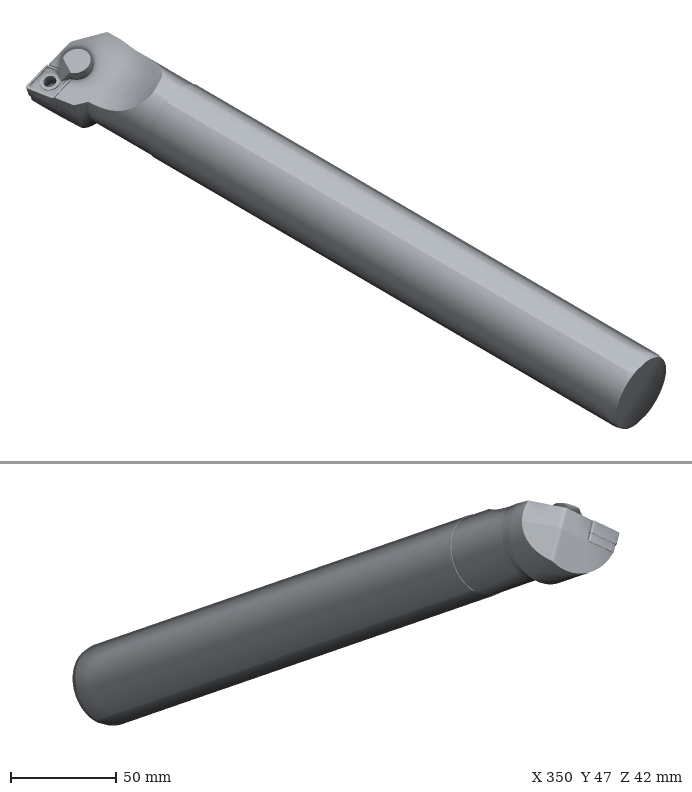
import cadquery as cq
import math


length = 350.0
shank_radius = 20.0
flat_height = 19.0
neck_radius = 19.5
neck_end = 69.3
chamfer_length = 3.0
chamfer_depth = 0.7

head_radius = 23.0
head_offset = -3.0
head_end = 25.2
head_end_slope = 0.14
neck_start = 32.0
relief_angle = 5.0

tip_offset = 27.0
axial_slope = 0.09
radial_slope = 0.22
runout_start = 36.5
runout_radius = 42.0
runout_bend = 60.0

insert_circle = 15.8
insert_thickness = 6.3
insert_hole = 6.3
nose_radius = 1.0
nose_angle = 80.0
lead_angle = 5.0
land = 1.0
boss_radius = 5.0
groove_depth = 0.7
shim_thickness = 4.2
shim_inset = 0.5
pocket_gap = 0.5
setback = 0.88

wall_corner = (3.5, 32.0)
slant_end = (19.2, 48.5)
wall_fillet = 4.0

clamp_center = (16.0, 21.7)
clamp_radius = 7.0
clamp_height = 5.5
tongue_length = 10.5
tongue_root_width = 11.2
tongue_tip_width = 5.5
tongue_direction = 240.0
tongue_slope = 45.0

head_height = 52.5
reach = 105.0

rake = cq.Plane(
    origin=(0, -tip_offset, 0),
    xDir=(1, 0, axial_slope),
    normal=(-axial_slope, -radial_slope, 1),
)

half_angle = math.radians(nose_angle / 2)
diagonal_share = math.cos(math.radians(45))
sharp_corner = nose_radius - nose_radius / math.sin(half_angle) * diagonal_share
side = insert_circle / math.sin(math.radians(nose_angle))
insert_middle = sharp_corner + side * math.cos(half_angle) * diagonal_share
edge_x = (math.cos(math.radians(lead_angle)), math.sin(math.radians(lead_angle)))
edge_y = (edge_x[1], edge_x[0])


def rhombus(inset, height, depth):
    """Rounded rhombic prism from `height` down by `depth`, with its sides moved in by `inset`."""
    length_of_side = (insert_circle - 2 * inset) / math.sin(math.radians(nose_angle))
    start = insert_middle - length_of_side * math.cos(half_angle) * diagonal_share
    points = [
        (start, start),
        (start + length_of_side * edge_x[0], start + length_of_side * edge_x[1]),
        (
            start + length_of_side * (edge_x[0] + edge_y[0]),
            start + length_of_side * (edge_x[1] + edge_y[1]),
        ),
        (start + length_of_side * edge_y[0], start + length_of_side * edge_y[1]),
    ]
    prism = cq.Workplane(rake).workplane(offset=height).polyline(points).close().extrude(-depth)
    return prism.edges(cq.selectors.ParallelDirSelector(rake.zDir)).fillet(nose_radius)


def make_bar():
    """Shank with two flats, and a neck with the upper flat only."""
    shank = cq.Workplane("YZ", origin=(neck_end, 0, 0)).circle(shank_radius).extrude(length - neck_end)
    shank = shank.faces(">X").chamfer(chamfer_length, chamfer_depth)
    flats = cq.Workplane("XY").box(3 * length, reach, 2 * flat_height)
    neck = cq.Workplane("YZ", origin=(neck_start, 0, 0)).circle(neck_radius).extrude(neck_end - neck_start)
    upper_flat = cq.Workplane("XY", origin=(0, 0, flat_height - reach / 2)).box(3 * length, reach, reach)
    return shank.intersect(flats).union(neck.intersect(upper_flat))


def make_head_blank():
    """Off-centre round head with a slanted rear end, and the cone from there to the neck."""
    slanted_end = cq.Plane(origin=(head_end, 0, 0), xDir=(0, 1, 0), normal=(1, 0, head_end_slope))
    behind_end = cq.Workplane(slanted_end).rect(reach, reach).extrude(reach)
    head = cq.Workplane("YZ").center(head_offset, 0).circle(head_radius).extrude(reach).cut(behind_end)
    neck_rim = cq.Wire.makeCircle(neck_radius, cq.Vector(neck_start, 0, 0), cq.Vector(1, 0, 0))
    cone = cq.Solid.makeLoft([head.faces(">X").val().outerWire(), neck_rim], True)
    return head.union(cq.Workplane(cone))


def head_outline(height):
    """Outline of the head's walls on a plane `height` above the rake plane."""
    front_wall = sharp_corner + setback
    corner = (front_wall, front_wall)
    return (
        cq.Workplane(rake)
        .workplane(offset=height)
        .polyline(
            [
                corner,
                (corner[0] + reach * edge_x[0], corner[1] + reach * edge_x[1]),
                (corner[0] + reach, reach),
                (slant_end[0] + reach - slant_end[1], reach),
                slant_end,
                wall_corner,
            ]
        )
        .close()
    )


def round_wall_corner(walls, height):
    """Round the edge between the left and the slanted wall, found near `height`."""
    edge = cq.selectors.NearestToPointSelector(rake.toWorldCoords((*wall_corner, height)).toTuple())
    return walls.edges(edge).fillet(wall_fillet)


def make_head():
    """Head blank cut to its walls, which lean in below the shim."""
    depth = insert_thickness + shim_thickness
    upper = head_outline(-depth).extrude(head_height)
    lower = head_outline(-depth).extrude(-head_height, taper=relief_angle)
    upper = round_wall_corner(upper, head_height / 2 - depth)
    lower = round_wall_corner(lower, -head_height / 2 - depth)
    return make_head_blank().intersect(upper.union(lower))


def runout_point(angle):
    """Point of the runout arc, in a section along the rake plane, after turning by `angle`."""
    return (
        runout_start + runout_radius * math.sin(angle),
        runout_radius * (1 - math.cos(angle)),
    )


def make_runout():
    """Everything above the rake plane and its curved rise to the top of the bar."""
    bend = math.radians(runout_bend)
    end = runout_point(bend)
    return (
        cq.Workplane(cq.Plane(origin=rake.origin, xDir=rake.xDir, normal=-rake.yDir))
        .moveTo(-reach, 0)
        .lineTo(runout_start, 0)
        .threePointArc(runout_point(bend / 2), end)
        .lineTo(end[0], reach)
        .lineTo(-reach, reach)
        .close()
        .extrude(reach, both=True)
    )


def make_clamp():
    """Round clamp head with a tapered tongue that slopes down onto the insert."""
    heading = math.radians(tongue_direction)
    along = rake.xDir * math.cos(heading) + rake.yDir * math.sin(heading)
    center = rake.toWorldCoords(clamp_center)
    clamp_plane = cq.Plane(origin=center, xDir=along, normal=rake.zDir)
    profile_plane = cq.Plane(origin=center, xDir=along, normal=along.cross(rake.zDir))

    head = cq.Workplane(clamp_plane).circle(clamp_radius).extrude(clamp_height)
    tongue = (
        cq.Workplane(clamp_plane)
        .polyline(
            [
                (0, -tongue_root_width / 2),
                (tongue_length, -tongue_tip_width / 2),
                (tongue_length, tongue_tip_width / 2),
                (0, tongue_root_width / 2),
            ]
        )
        .close()
        .extrude(clamp_height)
    )
    slope_run = reach / math.tan(math.radians(tongue_slope))
    above_slope = (
        cq.Workplane(profile_plane)
        .polyline([(tongue_length, 0), (tongue_length + reach, 0), (tongue_length - slope_run, reach)])
        .close()
        .extrude(reach, both=True)
    )
    return head.union(tongue).cut(above_slope)


def insert_cylinder(radius, depth):
    """Cylinder on the insert's axis, from the rake plane down by `depth`."""
    return cq.Workplane(rake).center(insert_middle, insert_middle).circle(radius).extrude(-depth)


def make_insert():
    """Rhombic insert with a through hole and a chip groove behind its cutting edges."""
    blank = rhombus(0, 0, insert_thickness)
    groove = rhombus(land, 0, groove_depth).cut(insert_cylinder(boss_radius, groove_depth))
    hole = insert_cylinder(insert_hole / 2, insert_thickness)
    return blank.cut(groove).cut(hole)


def make_holder():
    """Bar, head, shim and clamp in one piece, with a pocket for the insert."""
    pocket = rhombus(-pocket_gap, 0, insert_thickness + shim_thickness)
    shim = rhombus(shim_inset, -insert_thickness, shim_thickness)
    body = make_bar().union(make_head()).cut(make_runout()).cut(pocket)
    return body.union(shim).union(make_clamp())


insert = make_insert()
holder = make_holder()

result = cq.Compound.makeCompound([holder.val(), insert.val()])